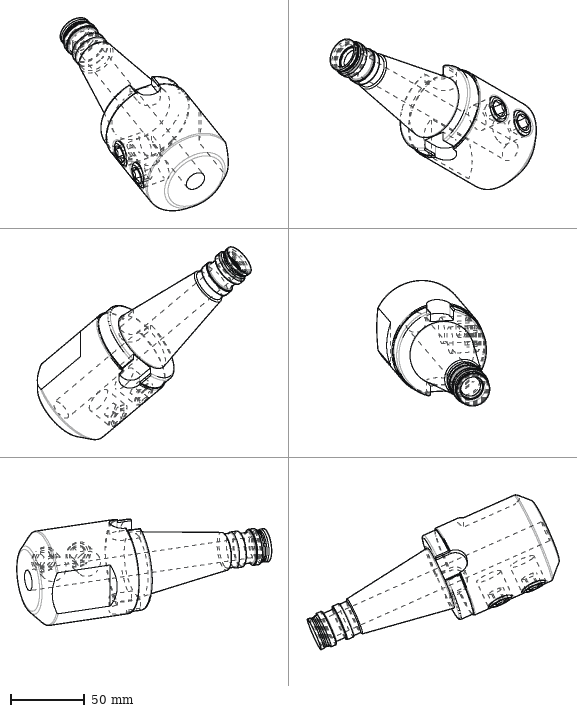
import cadquery as cq
import math

total_length = 173.4
tip_groove_start = 2.0
tip_groove_end = 5.5
front_collar_start = 7.1
front_collar_end = 11.3
rear_collar_start = 18.7
rear_collar_end = 24.0
taper_start = 30.3
taper_end = 93.8
flange_start = 94.7
body_start = 104.9

tip_radius = 11.5
tip_groove_radius = 11.0
collar_radius = 12.5
collar_groove_radius = 10.5
neck_radius = 11.8
taper_large_radius = 22.4
flange_radius = 31.4
body_diameter = 65.0
body_radius = body_diameter / 2
nose_end_radius = 22.5
taper_ratio = 7 / 24

tip_groove_slope = 1.2
collar_chamfer = 0.5
taper_chamfer = 0.9
shank_root_round = 0.5
body_root_round = 0.3
flange_edge_round = 1.2
body_edge_round = 0.7
nose_shoulder_round = 1.5
nose_end_round = 3.1

through_diameter = 14.0
through_radius = through_diameter / 2
mouth_radius = 8.5
mouth_depth = 6.5
mouth_round = 2.3
lead_in_radius = 8.0
lead_in_start = 7.3
lead_in_end = 9.5

slot_width = 16.3
slot_end = 113.8
slot_floor = 22.7
slot_edge_chamfer = 1.2

flat_height = 28.8
flat_start = 124.8

screw_diameter = 18.0
screw_length = 20.0
screw_chamfer = 1.4
socket_flats = 9.9
socket_depth = 8.7
socket_mouth_diameter = 12.0
first_screw_x = 124.8
screw_spacing = 25.0
screw_positions = [first_screw_x, first_screw_x + screw_spacing]
hole_mouth_round = 0.9

selection_margin = 0.03


def round_circle(solid, x, radius, size):
    """Round the circular edge of the given radius about the X axis at station x."""
    side = radius + selection_margin
    within = cq.selectors.BoxSelector(
        (x - selection_margin, -side, -side),
        (x + selection_margin, side, side),
        boundingbox=True,
    )
    largest = cq.selectors.RadiusNthSelector(-1)
    return solid.edges(within).edges(largest).fillet(size)


def make_turned_blank():
    """Revolve the outside of the holder about the X axis."""
    taper_small_radius = taper_large_radius - (taper_end - taper_start) * taper_ratio / 2
    nose_length = body_radius - nose_end_radius
    outline = [
        (0, 0),
        (0, tip_radius),
        (tip_groove_start, tip_radius),
        (tip_groove_start + tip_groove_slope, tip_groove_radius),
        (tip_groove_end - tip_groove_slope, tip_groove_radius),
        (tip_groove_end, tip_radius),
        (front_collar_start, tip_radius),
        (front_collar_start, collar_radius),
        (front_collar_end - collar_chamfer, collar_radius),
        (front_collar_end, collar_radius - collar_chamfer),
        (front_collar_end, collar_groove_radius),
        (rear_collar_start, collar_groove_radius),
        (rear_collar_start, collar_radius - collar_chamfer),
        (rear_collar_start + collar_chamfer, collar_radius),
        (rear_collar_end, collar_radius),
        (rear_collar_end, neck_radius),
        (taper_start - taper_chamfer, neck_radius),
        (taper_start, taper_small_radius),
        (taper_end, taper_large_radius),
        (flange_start, taper_large_radius),
        (flange_start, flange_radius),
        (body_start, flange_radius),
        (body_start, body_radius),
        (total_length - nose_length, body_radius),
        (total_length, nose_end_radius),
        (total_length, 0),
    ]
    blank = cq.Workplane("XY").polyline(outline).close().revolve(360, (0, 0, 0), (1, 0, 0))
    rounds = [
        (front_collar_start, tip_radius, shank_root_round),
        (front_collar_end, collar_groove_radius, shank_root_round),
        (rear_collar_start, collar_groove_radius, shank_root_round),
        (rear_collar_end, neck_radius, shank_root_round),
        (flange_start, flange_radius, flange_edge_round),
        (body_start, flange_radius, body_root_round),
        (body_start, body_radius, body_edge_round),
        (total_length - nose_length, body_radius, nose_shoulder_round),
        (total_length, nose_end_radius, nose_end_round),
    ]
    for x, radius, size in rounds:
        blank = round_circle(blank, x, radius, size)
    return blank


def make_bore():
    """Through bore with a wider, rounded mouth at the shank tip."""
    return (
        cq.Workplane("XY")
        .moveTo(0, 0)
        .lineTo(0, mouth_radius + mouth_round)
        .radiusArc((mouth_round, mouth_radius), -mouth_round)
        .lineTo(mouth_depth, mouth_radius)
        .lineTo(mouth_depth, lead_in_radius)
        .lineTo(lead_in_start, lead_in_radius)
        .lineTo(lead_in_end, through_radius)
        .lineTo(total_length, through_radius)
        .lineTo(total_length, 0)
        .close()
        .revolve(360, (0, 0, 0), (1, 0, 0))
    )


def make_drive_slot():
    """Round-ended slot through the flange into the body, with its flange edges beveled."""
    half_width = slot_width / 2
    arc_center = slot_end - half_width
    slot = (
        cq.Workplane("XY", origin=(0, 0, slot_floor))
        .moveTo(flange_start, -half_width)
        .lineTo(arc_center, -half_width)
        .threePointArc((slot_end, 0), (arc_center, half_width))
        .lineTo(flange_start, half_width)
        .close()
        .extrude(body_radius - slot_floor)
    )
    rim_height = math.sqrt(flange_radius**2 - half_width**2)
    bevel_bottom = rim_height - slot_edge_chamfer
    bevel_height = body_radius - bevel_bottom
    bevel = (
        cq.Workplane("YZ", origin=(flange_start, 0, 0))
        .moveTo(-half_width, bevel_bottom)
        .lineTo(half_width, bevel_bottom)
        .lineTo(half_width + bevel_height, body_radius)
        .lineTo(-half_width - bevel_height, body_radius)
        .close()
        .extrude(body_start - flange_start)
    )
    return slot.union(bevel)


def make_balancing_flat():
    """Cutter for the flat, with a 45 degree run-out at its shank end."""
    depth = body_radius - flat_height
    return (
        cq.Workplane("XY")
        .moveTo(flat_start, flat_height)
        .lineTo(total_length, flat_height)
        .lineTo(total_length, body_radius)
        .lineTo(flat_start - depth, body_radius)
        .close()
        .extrude(body_radius, both=True)
    )


def screw_cylinder(x):
    """Full cylinder of a screw, running inward from the -Y extreme of the body."""
    return cq.Workplane("XZ", origin=(x, -body_radius, 0)).circle(screw_diameter / 2).extrude(-screw_length)


def drill_screw_hole(holder, x):
    """Sink a hole that matches a screw and round its mouth."""
    reach = screw_diameter / 2 + selection_margin
    mouth = cq.selectors.BoxSelector(
        (x - reach, -body_radius - selection_margin, -reach),
        (x + reach, -body_radius + screw_length / 2, reach),
        boundingbox=True,
    )
    return holder.cut(screw_cylinder(x)).edges(mouth).fillet(hole_mouth_round)


def make_holder():
    """Tool holder: turned blank with its bore, two drive slots, flat and screw holes."""
    holder = make_turned_blank().cut(make_bore())
    slot = make_drive_slot()
    for angle in (0, 180):
        holder = holder.cut(slot.rotate((0, 0, 0), (1, 0, 0), angle))
    holder = holder.cut(make_balancing_flat())
    for x in screw_positions:
        holder = drill_screw_hole(holder, x)
    return holder


def make_screw(x):
    """Socket set screw with its outer end level with the body surface."""
    screw = screw_cylinder(x).faces("<Y").chamfer(screw_chamfer)
    socket_corners = socket_flats / math.cos(math.pi / 6)
    outer_center = cq.Vector(x, -body_radius, 0)
    socket = cq.Workplane("XZ", origin=outer_center).polygon(6, socket_corners).extrude(-socket_depth)
    rim_radius = socket_mouth_diameter / 2
    lead_in = cq.Solid.makeCone(rim_radius, 0, rim_radius, outer_center, cq.Vector(0, 1, 0))
    return screw.cut(socket).cut(cq.Workplane(lead_in))


holder = make_holder().solids()
screws = [make_screw(x).solids() for x in screw_positions]

result = cq.Compound.makeCompound([holder.val(), *[screw.val() for screw in screws]])